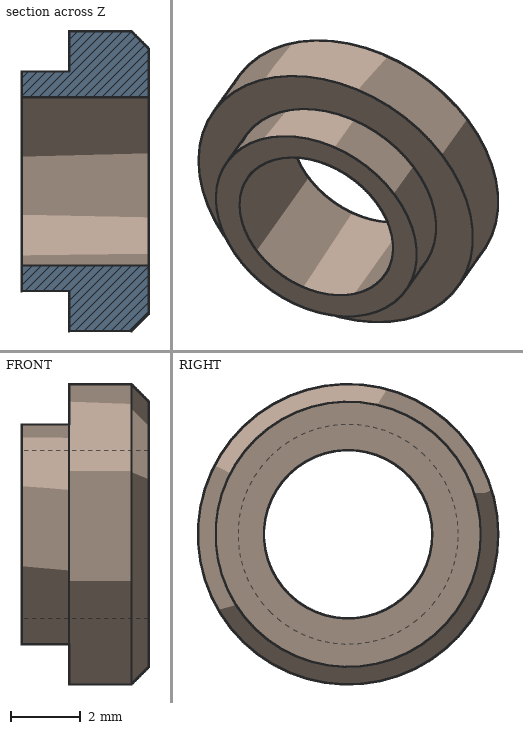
import cadquery as cq

flange_diameter = 8.64
collar_diameter = 6.325
bore_diameter = 4.83
total_length = 3.66
collar_length = 1.365
chamfer_size = 0.51

flange_length = total_length - collar_length

collar = cq.Workplane("YZ").circle(collar_diameter / 2).extrude(collar_length)

flange = (
    cq.Workplane("YZ", origin=(collar_length, 0, 0))
    .circle(flange_diameter / 2)
    .extrude(flange_length)
    .faces(">X")
    .chamfer(chamfer_size)
)

bore = cq.Workplane("YZ").circle(bore_diameter / 2).extrude(total_length)

result = collar.union(flange).cut(bore)